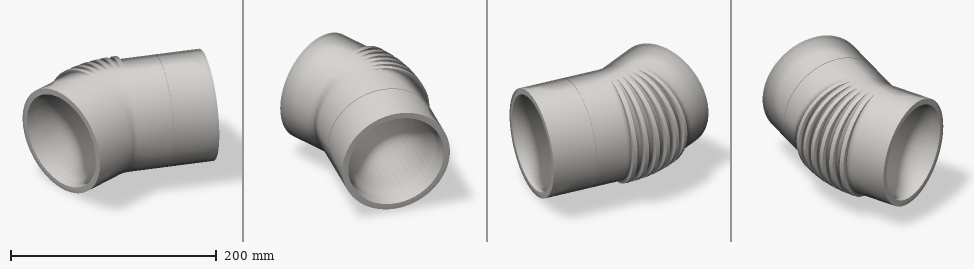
import cadquery as cq
import math

outer_radius = 55.0
wall = 6.1
inner_radius = outer_radius - wall
overall_length = 174.1
outlet_length = 83.7
bend_radius = 59.5
bend_angle = 30

bend_radians = math.radians(bend_angle)
outer_bend_rise = (bend_radius + outer_radius) * math.sin(bend_radians)
outlet_rise = outlet_length * math.cos(bend_radians)
inlet_length = overall_length - outer_bend_rise - outlet_rise

rib_count = 6
rib_thickness = 4.4
rib_height = 6.0

groove_from_end = 45.1
groove_width = 0.9
groove_depth = 0.5

bend_axis_start = (bend_radius, 0, 0)
bend_axis_end = (bend_radius, 0, 1)


def turned(shape, angle):
    """Carry a shape around the bend from the inlet towards the outlet."""
    return shape.rotate(bend_axis_start, bend_axis_end, -angle)


def disc(radius, start_y, length, center_x=0):
    """Cylinder along +Y starting at start_y."""
    plane = cq.Plane(origin=(center_x, start_y, 0), xDir=(1, 0, 0), normal=(0, 1, 0))
    return cq.Workplane(plane).circle(radius).extrude(length)


def elbow(radius):
    """Solid inlet leg, bend and outlet leg of one radius."""
    inlet = disc(radius, -inlet_length, inlet_length)
    bend = (
        cq.Workplane("XZ")
        .circle(radius)
        .revolve(bend_angle, (bend_radius, 0), (bend_radius, -1))
    )
    outlet = turned(disc(radius, 0, outlet_length), bend_angle)
    return inlet.union(bend).union(outlet)


def rib(angle):
    """Pipe-sized disc shifted outwards, leaving a crescent on the outside."""
    return turned(disc(outer_radius, -rib_thickness / 2, rib_thickness, -rib_height), angle)


def witness_groove():
    start_y = outlet_length - groove_from_end - groove_width / 2
    ring = disc(outer_radius + wall, start_y, groove_width).cut(
        disc(outer_radius - groove_depth, start_y, groove_width)
    )
    return turned(ring, bend_angle)


body = elbow(outer_radius)
for index in range(rib_count):
    body = body.union(rib(index * bend_angle / (rib_count - 1)))

result = body.cut(elbow(inner_radius)).cut(witness_groove())